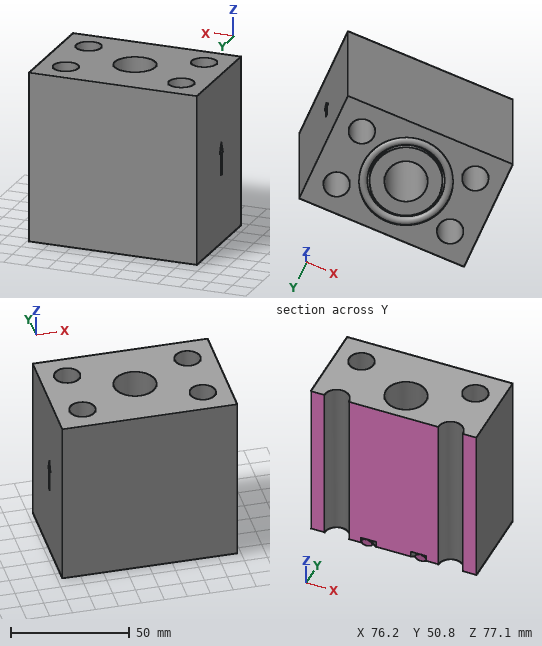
import cadquery as cq

OVERALL_HEIGHT = 77.1
SEAL_PROTRUSION = 0.85
BLOCK_HEIGHT = OVERALL_HEIGHT - SEAL_PROTRUSION
BLOCK_WIDTH = BLOCK_HEIGHT
BLOCK_DEPTH = 50.8

BORE_DIAMETER = 18.3
BOLT_HOLE_DIAMETER = 11.2
BOLT_SPACING_X = 52.4
BOLT_SPACING_Y = BOLT_SPACING_X / 2

GROOVE_OUTER_DIAMETER = 39.8
GROOVE_INNER_DIAMETER = 30.8
SEAL_SECTION_DIAMETER = 3.55
SEAL_SECTION_RADIUS = SEAL_SECTION_DIAMETER / 2
SEAL_CENTRE_RADIUS = GROOVE_OUTER_DIAMETER / 2 - SEAL_SECTION_RADIUS
SEAL_CENTRE_HEIGHT = SEAL_SECTION_RADIUS - SEAL_PROTRUSION
GROOVE_DEPTH = SEAL_SECTION_DIAMETER - SEAL_PROTRUSION

ARROW_Y = -2.9
ARROW_TAIL_Z = 30.8
ARROW_SHAFT_LENGTH = 9.7
ARROW_SHAFT_WIDTH = 1.5
ARROW_HEAD_LENGTH = 4.8
ARROW_HEAD_WIDTH = 3.55
ARROW_DEPTH = 0.15


def make_seal_groove():
    """Annular cutter rising from the bottom face."""
    return (
        cq.Workplane("XY")
        .circle(GROOVE_OUTER_DIAMETER / 2)
        .circle(GROOVE_INNER_DIAMETER / 2)
        .extrude(GROOVE_DEPTH)
    )


def make_arrow_engraving():
    """Arrow-shaped cutter reaching inward from the -X face."""
    half_shaft = ARROW_SHAFT_WIDTH / 2
    half_head = ARROW_HEAD_WIDTH / 2
    head_base = ARROW_SHAFT_LENGTH
    tip = ARROW_SHAFT_LENGTH + ARROW_HEAD_LENGTH
    outline = [
        (-half_shaft, 0),
        (half_shaft, 0),
        (half_shaft, head_base),
        (half_head, head_base),
        (0, tip),
        (-half_head, head_base),
        (-half_shaft, head_base),
    ]
    return (
        cq.Workplane("YZ", origin=(-BLOCK_WIDTH / 2, ARROW_Y, ARROW_TAIL_Z))
        .polyline(outline)
        .close()
        .extrude(ARROW_DEPTH)
    )


def make_block():
    """Rectangular block with its bore, bolt holes, seal groove and flow arrow."""
    block = cq.Workplane("XY").box(
        BLOCK_WIDTH, BLOCK_DEPTH, BLOCK_HEIGHT, centered=(True, True, False)
    )
    block = block.faces(">Z").workplane().hole(BORE_DIAMETER)
    block = (
        block.faces(">Z")
        .workplane()
        .rarray(BOLT_SPACING_X, BOLT_SPACING_Y, 2, 2)
        .hole(BOLT_HOLE_DIAMETER)
    )
    return block.cut(make_seal_groove()).cut(make_arrow_engraving())


def make_seal_ring():
    """Torus resting on the groove floor and standing proud of the bottom face."""
    return (
        cq.Workplane("XZ")
        .center(SEAL_CENTRE_RADIUS, SEAL_CENTRE_HEIGHT)
        .circle(SEAL_SECTION_RADIUS)
        .revolve(360, (-SEAL_CENTRE_RADIUS, 0), (-SEAL_CENTRE_RADIUS, 1))
    )


block = make_block()
seal_ring = make_seal_ring()

result = cq.Compound.makeCompound([block.solids().val(), seal_ring.val()])